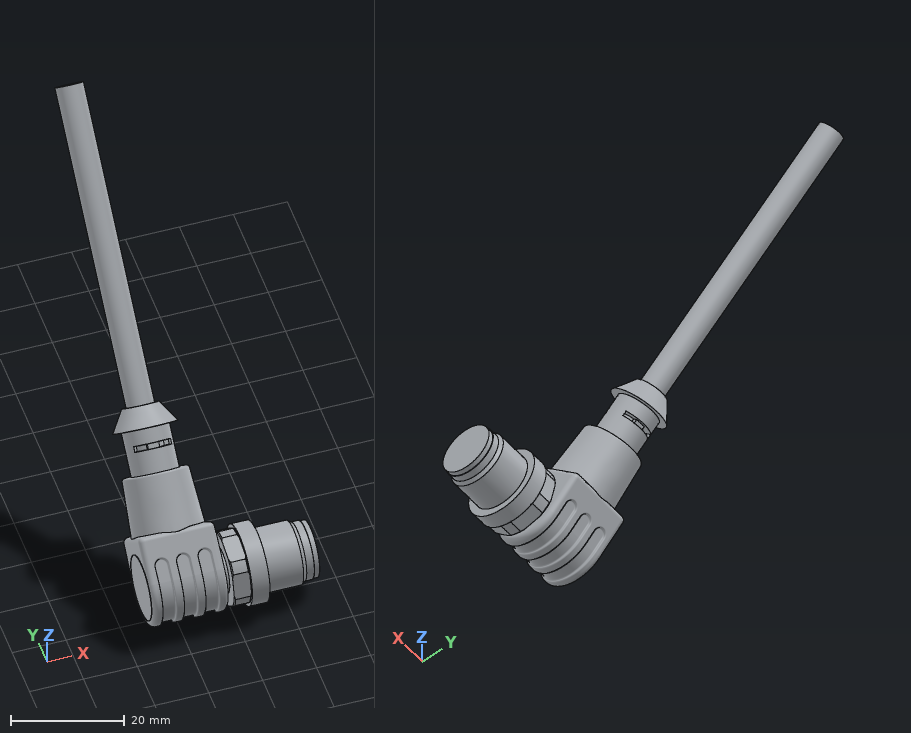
import cadquery as cq
import math

CABLE_TILT = 45.0

HOUSING_LENGTH = 14.1
HOUSING_RADIUS = 7.25
HOUSING_TOP = 9.0
HOUSING_FILLET = 1.0
SIDE_DRAFT = 2.5
END_RECESS_DIAMETER = 12.0
END_RECESS_DEPTH = 0.1

GROOVE_COUNT = 3
GROOVE_PITCH = 4.0
GROOVE_DEPTH = 0.5
GROOVE_WIDTH = 2.5
GROOVE_TOP = 4.5

COLLAR_RADIUS = 8.8 / 2
HEX_START = 15.0
HEX_ACROSS_FLATS = 13.4
HEX_CORNER_RADIUS = 7.2
HEX_CORNER_CHAMFER = 0.2
RING_START = 18.2
RING_RADIUS = 15.0 / 2
BARREL_START = 21.5
BARREL_RADIUS = 11.8 / 2
TAPER_START = 28.25
STEP_START = 29.0
STEP_RADIUS = 10.8 / 2
TIP_START = 30.4
TIP_RADIUS = 10.5 / 2
PLUG_END = 31.4

SLEEVE_BASE_RADIUS = 6.75
SLEEVE_TOP_RADIUS = 6.1
SLEEVE_TOP = 19.4
SLEEVE_FILLET = 0.4
NECK_RADIUS = 8.8 / 2
FLARE_START = 27.5
FLARE_WIDE_RADIUS = 11.8 / 2
FLARE_NARROW_RADIUS = 3.4
FLARE_END = 31.5
CABLE_RADIUS = 2.6

WINDOW_BOTTOM = 23.7
WINDOW_HEIGHT = 1.0
WINDOW_WIDTH = 6.8
WINDOW_FLOOR = 0.7
BRIDGE_WIDTH = 2.1
BRIDGE_TOP = 3.4

CUT_MARGIN = 0.2

OVERALL_SIZE = 72.6
TOP_Z = OVERALL_SIZE - RING_RADIUS
CABLE_END = TOP_Z / math.cos(math.radians(CABLE_TILT)) - CABLE_RADIUS
HOUSING_MIDDLE = HOUSING_LENGTH / 2


def make_housing():
    draft = math.radians(SIDE_DRAFT)
    tangent_y = HOUSING_RADIUS * math.cos(draft)
    tangent_z = HOUSING_RADIUS * math.sin(draft)
    top_y = tangent_y - (HOUSING_TOP - tangent_z) * math.tan(draft)
    outline = (
        cq.Workplane("YZ")
        .moveTo(-top_y, HOUSING_TOP)
        .lineTo(-tangent_y, tangent_z)
        .threePointArc((0, -HOUSING_RADIUS), (tangent_y, tangent_z))
        .lineTo(top_y, HOUSING_TOP)
        .close()
    )
    block = outline.extrude(HOUSING_LENGTH).edges().fillet(HOUSING_FILLET)
    recess = cq.Workplane("YZ").circle(END_RECESS_DIAMETER / 2).extrude(END_RECESS_DEPTH)
    return block.cut(recess)


def groove_half_outline():
    """Open outline of the +X half of the groove section; its wall is an S of two quarter circles."""
    edge_round = GROOVE_DEPTH / 2
    bend = edge_round * math.sqrt(0.5)
    half_floor = GROOVE_WIDTH / 2 - edge_round
    half_mouth = GROOVE_WIDTH / 2 + edge_round
    floor_radius = HOUSING_RADIUS - GROOVE_DEPTH
    middle_radius = HOUSING_RADIUS - edge_round
    return (
        cq.Workplane("XY")
        .moveTo(0, floor_radius)
        .lineTo(half_floor, floor_radius)
        .threePointArc((half_floor + bend, middle_radius - bend), (GROOVE_WIDTH / 2, middle_radius))
        .threePointArc((half_mouth - bend, middle_radius + bend), (half_mouth, HOUSING_RADIUS))
        .lineTo(half_mouth, HOUSING_RADIUS + CUT_MARGIN)
        .lineTo(0, HOUSING_RADIUS + CUT_MARGIN)
    )


def make_groove_cutter():
    """U-shaped groove round the housing at X = 0, with a round upper end on each side."""
    end_z = GROOVE_TOP - (GROOVE_WIDTH + GROOVE_DEPTH) / 2
    straight = groove_half_outline().mirrorY().extrude(end_z)
    upper_end = groove_half_outline().close().revolve(360, (0, 0), (0, 1)).translate((0, 0, end_z))
    side = straight.union(upper_end).rotate((0, 0, 0), (1, 0, 0), SIDE_DRAFT)
    turn_angle = 180 + 2 * SIDE_DRAFT
    turn = groove_half_outline().mirrorY().revolve(turn_angle, (0, 0), (-1, 0))
    turn = turn.rotate((0, 0, 0), (1, 0, 0), SIDE_DRAFT)
    return turn.union(side).union(side.mirror("XZ"))


def make_plug():
    profile = [
        (HOUSING_MIDDLE, 0),
        (HOUSING_MIDDLE, COLLAR_RADIUS),
        (RING_START, COLLAR_RADIUS),
        (RING_START, RING_RADIUS),
        (BARREL_START, RING_RADIUS),
        (BARREL_START, BARREL_RADIUS),
        (TAPER_START, BARREL_RADIUS),
        (STEP_START, STEP_RADIUS),
        (TIP_START, STEP_RADIUS),
        (TIP_START, TIP_RADIUS),
        (PLUG_END, TIP_RADIUS),
        (PLUG_END, 0),
    ]
    turned = cq.Workplane("XY").polyline(profile).close().revolve(360, (0, 0), (1, 0))

    hex_length = RING_START - HEX_START
    hex_plane = cq.Workplane("YZ", origin=(HEX_START, 0, 0))
    corner_diameter = HEX_ACROSS_FLATS / math.cos(math.radians(30))
    hexagon = hex_plane.polygon(6, corner_diameter).extrude(hex_length)
    corner_limit = hex_plane.circle(HEX_CORNER_RADIUS).extrude(hex_length)
    corner_limit = corner_limit.edges().chamfer(HEX_CORNER_CHAMFER)
    return turned.union(hexagon.intersect(corner_limit))


def make_round(bottom, bottom_radius, top, top_radius):
    """Cylinder or cone on the Z axis, between two heights."""
    profile = [(0, bottom), (bottom_radius, bottom), (top_radius, top), (0, top)]
    return cq.Workplane("XZ").polyline(profile).close().revolve(360, (0, 0), (0, 1))


def make_window_cutter():
    """Recess on the +Y side of the neck, with a lower bridge standing across its middle."""
    recess_depth = NECK_RADIUS - WINDOW_FLOOR
    recess = cq.Workplane("XY").box(WINDOW_WIDTH, recess_depth, WINDOW_HEIGHT, centered=(True, False, False))
    bridge_depth = BRIDGE_TOP - WINDOW_FLOOR
    bridge = cq.Workplane("XY").box(BRIDGE_WIDTH, bridge_depth, WINDOW_HEIGHT, centered=(True, False, False))
    return recess.cut(bridge).translate((0, WINDOW_FLOOR, WINDOW_BOTTOM))


def make_cable_outlet():
    sleeve = make_round(HOUSING_TOP - HOUSING_FILLET, SLEEVE_BASE_RADIUS, SLEEVE_TOP, SLEEVE_TOP_RADIUS)
    sleeve = sleeve.faces(">Z").edges().fillet(SLEEVE_FILLET)
    neck = make_round(HOUSING_TOP, NECK_RADIUS, FLARE_START, NECK_RADIUS)
    window = make_window_cutter()
    neck = neck.cut(window).cut(window.mirror("XZ"))
    flare = make_round(FLARE_START, FLARE_WIDE_RADIUS, FLARE_END, FLARE_NARROW_RADIUS)
    cable = make_round(HOUSING_TOP, CABLE_RADIUS, CABLE_END, CABLE_RADIUS)
    outlet = sleeve.union(neck).union(flare).union(cable)
    return outlet.translate((HOUSING_MIDDLE, 0, 0))


housing = make_housing()
groove = make_groove_cutter()
for index in range(GROOVE_COUNT):
    groove_offset = (index - (GROOVE_COUNT - 1) / 2) * GROOVE_PITCH
    housing = housing.cut(groove.translate((HOUSING_MIDDLE + groove_offset, 0, 0)))

upright = housing.union(make_cable_outlet()).union(make_plug())
result = upright.rotate((0, 0, 0), (1, 0, 0), -CABLE_TILT)